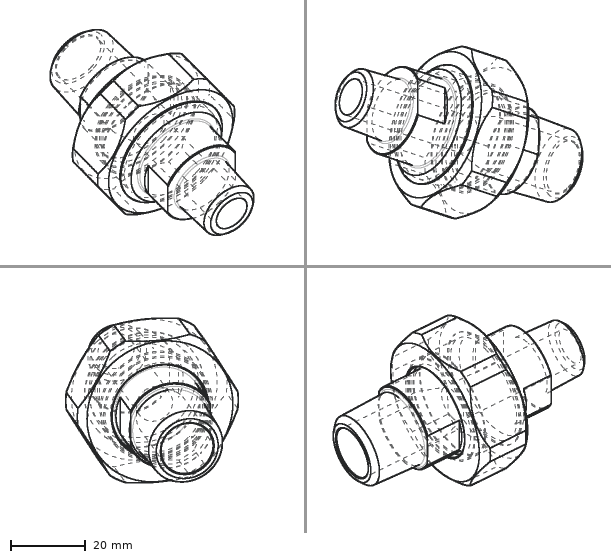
import cadquery as cq
import math

TOTAL_LENGTH = 72.0

BODY_DIA = 24.5
WRENCH_FLATS = 22.0
EDGE_CHAMFER = 0.2
BORE_DIA = 10.0

NUT_START = 27.4
NUT_END = 43.4
NUT_ACROSS_FLATS = 41.0
NUT_CORNER_DIA = 44.7
NUT_FACE_DIA = 40.5
NUT_LIP = 2.15
NUT_LIP_BORE_DIA = 26.5
NUT_LIP_CHAMFER = 0.3
NUT_THREAD_DIA = 30.3

TAIL_TIP_DIA = 17.2
TAIL_TAPER_START = 1.65
TAIL_TAPER_SMALL_DIA = 20.5
TAIL_TAPER_LARGE_DIA = 21.5
TAIL_SHOULDER = 16.85
TAIL_NECK_FILLET = 0.65
TAIL_FLANGE_DIA = 29.5
TAIL_FLANGE_FILLET = 0.65
TAIL_FLANGE_START = NUT_START + NUT_LIP
TAIL_END = 33.1
TAIL_BORE_DIA = 14.5
TAIL_BORE_CHAMFER = 0.2
TAIL_CONE_START = 25.2

COLLAR_DIA = 33.1
COLLAR_RIM_DIA = 29.5
COLLAR_CHAMFER_START = 43.85
COLLAR_END = 46.0
COLLAR_FILLET = 0.4
END_SHOULDER = 57.95
END_FLAT_START = 48.75
END_TAPER_LARGE_DIA = 17.2
END_TAPER_SMALL_DIA = 16.35
END_NECK_FILLET = 0.5
END_TIP_CHAMFER = 1.3


def revolve_about_x(profile):
    """Turn a closed profile of (X, radius) into a solid about the X axis."""
    return profile.close().revolve(360, (0, 0, 0), (1, 0, 0))


def cylinder_x(diameter, start, end):
    return cq.Workplane("YZ", origin=(start, 0, 0)).circle(diameter / 2).extrude(end - start)


def cut_wrench_flats(body, start, end):
    """Cut a pair of flats facing -Y and +Y between two X positions."""
    cutter_depth = BODY_DIA / 2
    for side in (-1, 1):
        cutter = cq.Workplane("XY").box(end - start, cutter_depth, BODY_DIA)
        cutter_y = side * (WRENCH_FLATS + cutter_depth) / 2
        body = body.cut(cutter.translate(((start + end) / 2, cutter_y, 0)))
    return body


def make_nut():
    hex_corner_dia = NUT_ACROSS_FLATS / math.cos(math.pi / 6)
    length = NUT_END - NUT_START
    hexagon = cq.Workplane("YZ", origin=(NUT_START, 0, 0)).polygon(6, hex_corner_dia).extrude(length)
    corner_chamfer = (NUT_CORNER_DIA - NUT_FACE_DIA) / 2
    envelope = cylinder_x(NUT_CORNER_DIA, NUT_START, NUT_END).faces("<X or >X").chamfer(corner_chamfer)
    nut = hexagon.intersect(envelope)

    lip_radius = NUT_LIP_BORE_DIA / 2
    thread_radius = NUT_THREAD_DIA / 2
    lip_end = NUT_START + NUT_LIP
    bore = revolve_about_x(
        cq.Workplane("XY")
        .moveTo(NUT_START, 0)
        .lineTo(NUT_START, lip_radius + NUT_LIP_CHAMFER)
        .lineTo(NUT_START + NUT_LIP_CHAMFER, lip_radius)
        .lineTo(lip_end, lip_radius)
        .lineTo(lip_end, thread_radius)
        .lineTo(NUT_END, thread_radius)
        .lineTo(NUT_END, 0)
    )
    return nut.cut(bore)


def make_tail_piece():
    body_radius = BODY_DIA / 2
    neck_radius = TAIL_TAPER_LARGE_DIA / 2
    flange_radius = TAIL_FLANGE_DIA / 2
    bore_radius = TAIL_BORE_DIA / 2
    tail = revolve_about_x(
        cq.Workplane("XY")
        .moveTo(0, bore_radius + TAIL_BORE_CHAMFER)
        .lineTo(0, TAIL_TIP_DIA / 2)
        .lineTo(TAIL_TAPER_START, TAIL_TAPER_SMALL_DIA / 2)
        .lineTo(TAIL_SHOULDER - TAIL_NECK_FILLET, neck_radius)
        .radiusArc((TAIL_SHOULDER, neck_radius + TAIL_NECK_FILLET), -TAIL_NECK_FILLET)
        .lineTo(TAIL_SHOULDER, body_radius - EDGE_CHAMFER)
        .lineTo(TAIL_SHOULDER + EDGE_CHAMFER, body_radius)
        .lineTo(TAIL_FLANGE_START - TAIL_FLANGE_FILLET, body_radius)
        .radiusArc((TAIL_FLANGE_START, body_radius + TAIL_FLANGE_FILLET), -TAIL_FLANGE_FILLET)
        .lineTo(TAIL_FLANGE_START, flange_radius)
        .lineTo(TAIL_END, flange_radius)
        .lineTo(TAIL_END, BORE_DIA / 2)
        .lineTo(TAIL_CONE_START, bore_radius)
        .lineTo(TAIL_BORE_CHAMFER, bore_radius)
    )
    return cut_wrench_flats(tail, TAIL_SHOULDER, NUT_START)


def make_threaded_fitting():
    bore_radius = BORE_DIA / 2
    body_radius = BODY_DIA / 2
    neck_radius = END_TAPER_LARGE_DIA / 2
    tip_radius = END_TAPER_SMALL_DIA / 2
    fitting = revolve_about_x(
        cq.Workplane("XY")
        .moveTo(TAIL_END, bore_radius)
        .lineTo(TAIL_END, NUT_THREAD_DIA / 2)
        .lineTo(NUT_END, NUT_THREAD_DIA / 2)
        .lineTo(NUT_END, COLLAR_DIA / 2)
        .lineTo(COLLAR_CHAMFER_START, COLLAR_DIA / 2)
        .lineTo(COLLAR_END, COLLAR_RIM_DIA / 2)
        .lineTo(COLLAR_END, body_radius + COLLAR_FILLET)
        .radiusArc((COLLAR_END + COLLAR_FILLET, body_radius), -COLLAR_FILLET)
        .lineTo(END_SHOULDER - EDGE_CHAMFER, body_radius)
        .lineTo(END_SHOULDER, body_radius - EDGE_CHAMFER)
        .lineTo(END_SHOULDER, neck_radius + END_NECK_FILLET)
        .radiusArc((END_SHOULDER + END_NECK_FILLET, neck_radius), -END_NECK_FILLET)
        .lineTo(TOTAL_LENGTH - END_TIP_CHAMFER, tip_radius)
        .lineTo(TOTAL_LENGTH, tip_radius - END_TIP_CHAMFER)
        .lineTo(TOTAL_LENGTH, bore_radius)
    )
    return cut_wrench_flats(fitting, END_FLAT_START, END_SHOULDER)


nut = make_nut()
tail_piece = make_tail_piece()
threaded_fitting = make_threaded_fitting()
result = cq.Compound.makeCompound([nut.val(), tail_piece.val(), threaded_fitting.val()])